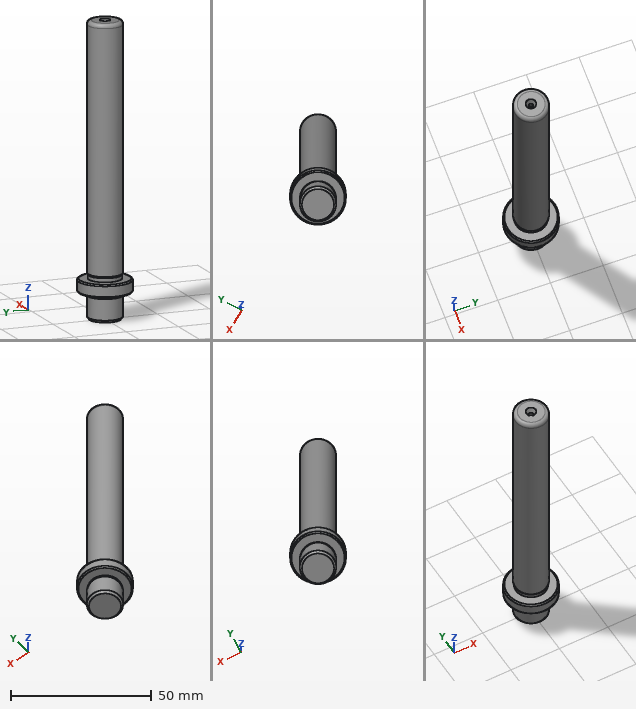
import cadquery as cq
import math

length = 110.0
shaft_radius = 6.5
tip_fillet = 1.5
foot_chamfer_height = 1.0
foot_chamfer_width = 0.8

flange_radius = 10.0
flange_bottom = 10.0
flange_top = 15.0
flange_chamfer = 0.5

groove_radius = 6.2
lower_groove_start = 8.8
lower_groove_taper = 0.5
upper_groove_end = 17.0
upper_groove_taper = 0.7

countersink_radius = 1.9
countersink_angle = 60.0
pilot_radius = 0.9
pilot_length = 2.2
drill_point_angle = 118.0


def cone_depth(radius_change, included_angle):
    """Axial depth over which a cone changes by the given radius."""
    return radius_change / math.tan(math.radians(included_angle / 2))


def make_body():
    """Revolve the half outline of the pin about Z."""
    fillet_start = length - tip_fillet
    tip_flat_radius = shaft_radius - tip_fillet
    fillet_mid = (
        tip_flat_radius + tip_fillet * math.sqrt(0.5),
        fillet_start + tip_fillet * math.sqrt(0.5),
    )
    outline = (
        cq.Workplane("XZ")
        .lineTo(shaft_radius - foot_chamfer_width, 0)
        .lineTo(shaft_radius, foot_chamfer_height)
        .lineTo(shaft_radius, lower_groove_start)
        .lineTo(groove_radius, lower_groove_start + lower_groove_taper)
        .lineTo(groove_radius, flange_bottom)
        .lineTo(flange_radius - flange_chamfer, flange_bottom)
        .lineTo(flange_radius, flange_bottom + flange_chamfer)
        .lineTo(flange_radius, flange_top - flange_chamfer)
        .lineTo(flange_radius - flange_chamfer, flange_top)
        .lineTo(groove_radius, flange_top)
        .lineTo(groove_radius, upper_groove_end - upper_groove_taper)
        .lineTo(shaft_radius, upper_groove_end)
        .lineTo(shaft_radius, fillet_start)
        .threePointArc(fillet_mid, (tip_flat_radius, length))
        .lineTo(0, length)
        .close()
    )
    return outline.revolve(360, (0, 0, 0), (0, 1, 0))


def make_centre_hole():
    """Countersink, pilot and drill point, cut down from the upper end."""
    pilot_top = length - cone_depth(countersink_radius - pilot_radius, countersink_angle)
    pilot_bottom = pilot_top - pilot_length
    point_bottom = pilot_bottom - cone_depth(pilot_radius, drill_point_angle)
    outline = (
        cq.Workplane("XZ")
        .moveTo(0, length)
        .lineTo(countersink_radius, length)
        .lineTo(pilot_radius, pilot_top)
        .lineTo(pilot_radius, pilot_bottom)
        .lineTo(0, point_bottom)
        .close()
    )
    return outline.revolve(360, (0, 0, 0), (0, 1, 0))


result = make_body().cut(make_centre_hole())